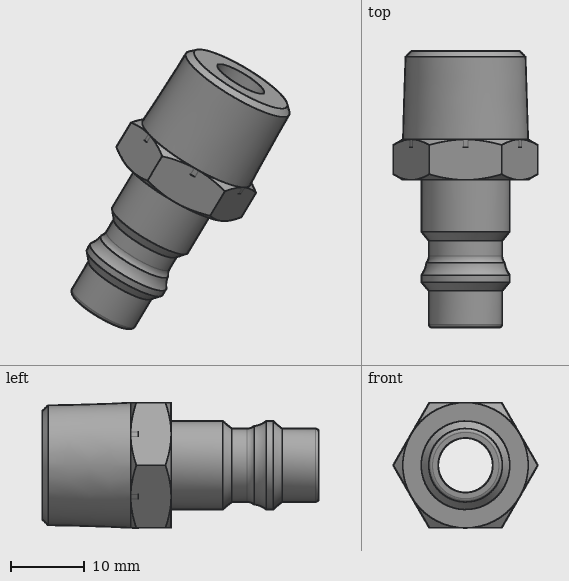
import cadquery as cq
import math

total_length = 37.5
tip_cone_start = 5.0
collar_front = 6.2
collar_rear = 7.12
flare_end = 8.78
groove_front = 9.75
groove_rear = 11.78
shank_start = 13.0
hex_front = 20.02
hex_rear = 25.5
gauge_plane = 31.12

shank_radius = 6.0
neck_radius = 5.0
bore_radius = 3.68
tip_fillet = 0.5
flare_radius = 5.32
collar_hollow = 0.1

gauge_radius = 8.32
radius_slope = 1 / 32
rear_chamfer = 0.82

across_flats = 17.0
hex_chamfer_angle = math.radians(30)
pad_half_width = 0.35
pad_length = 1.05

flat_distance = across_flats / 2
corner_radius = flat_distance / math.cos(math.pi / 6)


def thread_radius(y):
    return gauge_radius + (gauge_plane - y) * radius_slope


def revolve_about_y(profile):
    return profile.close().revolve(360, (0, 0, 0), (0, 1, 0))


def cylinder_along_y(radius, start, end):
    return cq.Workplane("XZ", origin=(0, start, 0)).circle(radius).extrude(start - end)


def make_plug():
    """Stepped coupling plug with a locking groove and a hollowed flare behind the collar."""
    rise = flare_radius - neck_radius
    run = groove_front - flare_end
    arc_radius = (run**2 + rise**2) / (2 * rise)
    half_angle = math.asin(run / arc_radius) / 2
    arc_middle = (
        neck_radius + arc_radius * (1 - math.cos(half_angle)),
        groove_front - arc_radius * math.sin(half_angle),
    )
    fillet_offset = tip_fillet * (1 - math.sqrt(0.5))
    profile = (
        cq.Workplane("XY")
        .lineTo(neck_radius - tip_fillet, 0)
        .threePointArc((neck_radius - fillet_offset, fillet_offset), (neck_radius, tip_fillet))
        .lineTo(neck_radius, tip_cone_start)
        .lineTo(shank_radius, collar_front)
        .lineTo(shank_radius, collar_rear)
        .sagittaArc((flare_radius, flare_end), collar_hollow)
        .threePointArc(arc_middle, (neck_radius, groove_front))
        .lineTo(neck_radius, groove_rear)
        .lineTo(shank_radius, shank_start)
        .lineTo(shank_radius, hex_front)
        .lineTo(0, hex_front)
    )
    return revolve_about_y(profile)


def make_hexagon():
    """Hexagon with corners on X, its corners chamfered by cones at both ends."""
    prism = (
        cq.Workplane("XZ", origin=(0, hex_front, 0))
        .polygon(6, 2 * corner_radius)
        .extrude(hex_front - hex_rear)
    )
    chamfer_length = (corner_radius - flat_distance) * math.tan(hex_chamfer_angle)
    envelope = (
        cq.Workplane("XY")
        .moveTo(0, hex_front)
        .lineTo(flat_distance, hex_front)
        .lineTo(corner_radius, hex_front + chamfer_length)
        .lineTo(corner_radius, hex_rear - chamfer_length)
        .lineTo(flat_distance, hex_rear)
        .lineTo(0, hex_rear)
    )
    return prism.intersect(revolve_about_y(envelope))


def make_thread_body():
    """Tapered body with a chamfered rear edge."""
    chamfer_start = total_length - rear_chamfer
    chamfer_radius = thread_radius(chamfer_start)
    profile = (
        cq.Workplane("XY")
        .moveTo(0, hex_rear)
        .lineTo(thread_radius(hex_rear), hex_rear)
        .lineTo(chamfer_radius, chamfer_start)
        .lineTo(chamfer_radius - rear_chamfer, total_length)
        .lineTo(0, total_length)
    )
    return revolve_about_y(profile)


def make_pads():
    """Short cylinder breaking through each flat as a thin strip at the rear of the hexagon."""
    pad_radius = math.hypot(flat_distance, pad_half_width)
    return cylinder_along_y(pad_radius, hex_rear - pad_length, hex_rear)


solid = make_plug().union(make_hexagon()).union(make_pads()).union(make_thread_body())
result = solid.cut(cylinder_along_y(bore_radius, 0, total_length))